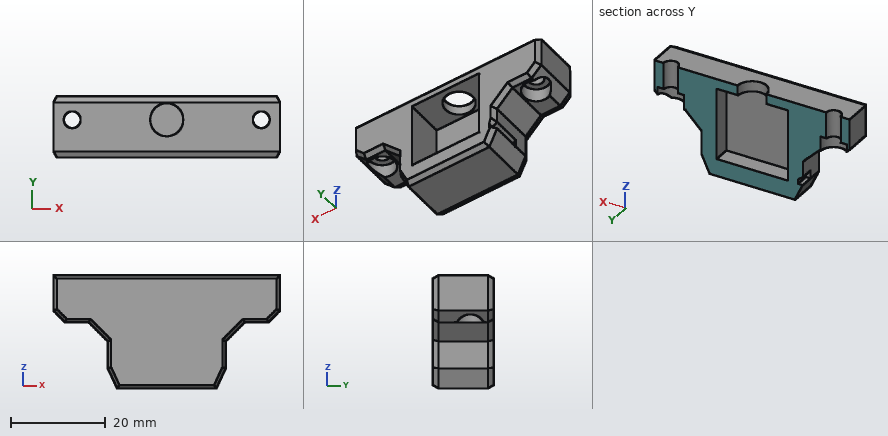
import cadquery as cq

WIDTH = 48.0
DEPTH = 13.0
HEIGHT = 24.0
BACK_Y = DEPTH / 2

ARM_BOTTOM = 14.0
ARM_CORNER = 2.5
SHOULDER_HALF_WIDTH = 16.5
STEM_HALF_WIDTH = 12.5
STEM_SIDE_TOP = ARM_BOTTOM - (SHOULDER_HALF_WIDTH - STEM_HALF_WIDTH)
STEM_SIDE_BOTTOM = 4.3
FOOT_HALF_WIDTH = 10.5

BEVEL_DEPTH = 1.3
BEVEL_INSET = 0.75

HOLE_LINE_Y = 1.5
SCREW_SPACING = 40.0
SCREW_DIAMETER = 3.5
SCREW_HEAD_DIAMETER = 6.4
SCREW_SEAT = 17.5
OPENING_DIAMETER = 7.0

POCKET_FRONT_Y = -2.5
POCKET_HALF_WIDTH = 8.7
POCKET_FLOOR = STEM_SIDE_BOTTOM
POCKET_CEILING = 21.5

NOTCH_FRONT_Y = -1.65
NOTCH_FLOOR = STEM_SIDE_BOTTOM
NOTCH_MOUTH_TOP = 6.2
NOTCH_INNER_TOP = 5.25
NOTCH_DEPTH = 1.15
NOTCH_FLARE_RISE = 0.65


def front_plane(y):
    """X-Z workplane at the given y, with its normal toward -Y."""
    return cq.Workplane("XZ", origin=(0, y, 0))


def body_outline(y):
    right = [
        (FOOT_HALF_WIDTH, 0),
        (STEM_HALF_WIDTH, STEM_SIDE_BOTTOM),
        (STEM_HALF_WIDTH, STEM_SIDE_TOP),
        (SHOULDER_HALF_WIDTH, ARM_BOTTOM),
        (WIDTH / 2 - ARM_CORNER, ARM_BOTTOM),
        (WIDTH / 2, ARM_BOTTOM + ARM_CORNER),
        (WIDTH / 2, HEIGHT),
    ]
    left = [(-x, z) for x, z in reversed(right)]
    return front_plane(y).polyline(right + left).close()


def bevelled_end(side):
    """Layer that narrows toward the front (side = -1) or back (side = 1) face."""
    base = body_outline(side * (BACK_Y - BEVEL_DEPTH)).wire().val()
    face = body_outline(side * BACK_Y).offset2D(-BEVEL_INSET, "intersection").val()
    return cq.Workplane(cq.Solid.makeLoft([base, face], True))


def make_body():
    middle_length = DEPTH - 2 * BEVEL_DEPTH
    middle = body_outline(middle_length / 2).extrude(middle_length)
    return middle.union(bevelled_end(-1)).union(bevelled_end(1))


def upright_cylinder(x, diameter, bottom, top):
    base = cq.Workplane("XY", origin=(x, HOLE_LINE_Y, bottom))
    return base.circle(diameter / 2).extrude(top - bottom)


def screw_hole(x):
    shaft = upright_cylinder(x, SCREW_DIAMETER, 0, HEIGHT)
    head = upright_cylinder(x, SCREW_HEAD_DIAMETER, 0, SCREW_SEAT)
    return shaft.union(head)


def back_pocket():
    pocket_depth = BACK_Y - POCKET_FRONT_Y
    pocket_height = POCKET_CEILING - POCKET_FLOOR
    centre_floor = cq.Workplane("XY", origin=(0, POCKET_FRONT_Y, POCKET_FLOOR))
    return centre_floor.box(2 * POCKET_HALF_WIDTH, pocket_depth, pocket_height, centered=(True, False, False))


def notch_outline(y, mouth_x, mouth_top):
    inner_x = NOTCH_DEPTH - STEM_HALF_WIDTH
    corners = [
        (mouth_x, NOTCH_FLOOR),
        (inner_x, NOTCH_FLOOR),
        (inner_x, NOTCH_INNER_TOP),
        (mouth_x, mouth_top),
    ]
    return front_plane(y).polyline(corners).close()


def side_notch():
    """Straight notch whose roof flares upward through the back bevel."""
    flare_start = BACK_Y - BEVEL_DEPTH
    mouth_x = -STEM_HALF_WIDTH
    bevel_mouth_x = mouth_x + BEVEL_INSET
    bevel_mouth_top = NOTCH_MOUTH_TOP + NOTCH_FLARE_RISE
    straight = notch_outline(flare_start, mouth_x, NOTCH_MOUTH_TOP).extrude(flare_start - NOTCH_FRONT_Y)
    flare_base = notch_outline(flare_start, mouth_x, NOTCH_MOUTH_TOP).wire().val()
    flare_end = notch_outline(BACK_Y, bevel_mouth_x, bevel_mouth_top).wire().val()
    flare = cq.Workplane(cq.Solid.makeLoft([flare_base, flare_end], True))
    return straight.union(flare)


result = make_body()
for screw_x in (-SCREW_SPACING / 2, SCREW_SPACING / 2):
    result = result.cut(screw_hole(screw_x))
result = result.cut(upright_cylinder(0, OPENING_DIAMETER, POCKET_CEILING, HEIGHT))
result = result.cut(back_pocket())
result = result.cut(side_notch())